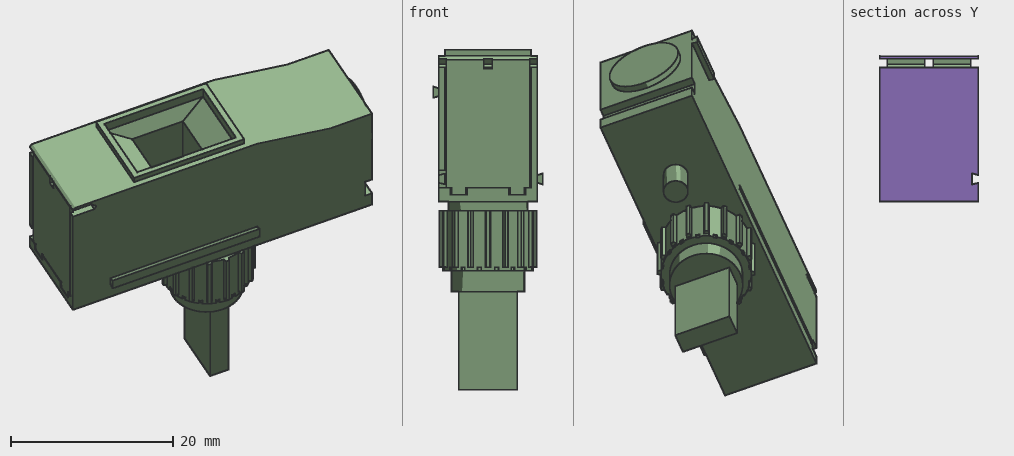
import cadquery as cq


width = 12.15
length = 41.0
height = 17.98
back_height = 16.15
slope_top_y = 25.25
slope_bottom_y = 35.35
lip_radius = 0.5

back_notch_bottom = 2.0
back_notch_top = 4.45
back_notch_depth = 0.95

back_boss_diameter = 9.1
back_boss_length = 0.8
back_boss_z = 10.35

window_y = 16.3
frame_width = 10.65
frame_length = 15.1
frame_height = 0.75
opening_width = 9.2
opening_length = 13.55
opening_straight_depth = 1.35
pit_width = 7.1
pit_length = 6.95
taper_depth = 1.9
pit_depth = 6.3

rail_height = 0.65
rail_flare = 0.2
front_rail_z = 2.8
front_rail_root = 0.95
front_rail_start_y = 5.1
back_rail_z = 13.5
back_rail_root = 1.0
groove_mouth = 0.92
groove_depth = 0.75
groove_entry_length = 1.2
groove_entry_top = 3.85

panel_width = 10.3
panel_setback = 0.05
panel_gap = 0.15
panel_gap_depth = 0.4
panel_bottom = 1.7
panel_top = height - lip_radius
foot_width = 2.1
foot_drop = 0.85
foot_offset = 3.6
foot_gap = 0.15

slot_bottom = 16.55
slot_top = 17.6
slot_nose_y = 3.2
slot_nose_z = 16.93
slot_roof_y = 2.55
slot_floor_y = 2.95
panel_thickness = 0.38
panel_chamfer = 0.38
catch_width = 1.0
catch_bottom = 16.4

knob_y = 21.3
neck_diameter = 9.8
neck_length = 1.1
knob_diameter = 11.1
rib_length = 6.95
rib_count = 16
rib_root_width = 0.65
rib_tip_width = 0.4
rib_tip_diameter = 12.0
knob_rim_length = 0.45
rim_notch_width = 0.45
rim_notch_depth = 0.15
barrel_diameter = 9.0
barrel_length = 2.55
blade_width = 7.2
blade_thickness = 2.55
overall_height = 41.9
blade_bottom = height + frame_height - overall_height

pin_diameter = 3.0
pin_length = 4.05
pin_y = 31.3

overlap = 0.4
half_width = width / 2


def box(x_range, y_range, z_range):
    """Axis-aligned box given by its two limits on each axis."""
    (x0, x1), (y0, y1), (z0, z1) = x_range, y_range, z_range
    return cq.Workplane("XY").box(x1 - x0, y1 - y0, z1 - z0, centered=False).translate((x0, y0, z0))


def side_profile(points, x0, x1):
    """Outline of (Y, Z) points extruded along X."""
    return cq.Workplane("YZ", origin=(x0, 0, 0)).polyline(points).close().extrude(x1 - x0)


def front_profile(points, y0, y1):
    """Outline of (X, Z) points extruded along Y."""
    return cq.Workplane("XZ", origin=(0, y0, 0)).polyline(points).close().extrude(y0 - y1)


def cylinder(diameter, y, top, bottom):
    """Upright cylinder on the housing centre plane."""
    return cq.Workplane("XY", origin=(0, y, bottom)).circle(diameter / 2).extrude(top - bottom)


def dovetail(x_root, x_tip, z, root, flare, y0, y1):
    """Bar along Y whose height grows by the flare on both edges from root to tip."""
    half_root = root / 2
    half_tip = half_root + flare
    points = [
        (x_root, z - half_root),
        (x_tip, z - half_tip),
        (x_tip, z + half_tip),
        (x_root, z + half_root),
    ]
    return front_profile(points, y0, y1)


def make_housing():
    outline = [
        (0, 0),
        (length, 0),
        (length, back_notch_bottom),
        (length - back_notch_depth, back_notch_bottom),
        (length - back_notch_depth, back_notch_top),
        (length, back_notch_top),
        (length, back_height),
        (slope_bottom_y, back_height),
        (slope_top_y, height),
        (0, height),
    ]
    housing = side_profile(outline, -half_width, half_width)
    housing = housing.edges(cq.selectors.NearestToPointSelector((0, 0, height))).fillet(lip_radius)
    boss = (
        cq.Workplane("XZ", origin=(0, length - overlap, back_boss_z))
        .circle(back_boss_diameter / 2)
        .extrude(-(back_boss_length + overlap))
    )
    return housing.union(boss)


def add_window(housing):
    top = height + frame_height
    taper_top = top - opening_straight_depth
    frame = (
        cq.Workplane("XY", origin=(0, window_y, height - overlap))
        .rect(frame_width, frame_length)
        .extrude(frame_height + overlap)
    )
    opening = (
        cq.Workplane("XY", origin=(0, window_y, taper_top))
        .rect(opening_width, opening_length)
        .extrude(opening_straight_depth)
    )
    taper = (
        cq.Workplane("XY", origin=(0, window_y, taper_top))
        .rect(opening_width, opening_length)
        .workplane(offset=-taper_depth)
        .rect(pit_width, pit_length)
        .loft(ruled=True)
    )
    pit = (
        cq.Workplane("XY", origin=(0, window_y, taper_top - taper_depth))
        .rect(pit_width, pit_length)
        .extrude(-pit_depth)
    )
    return housing.union(frame).cut(opening).cut(taper).cut(pit)


def add_rails(housing):
    front_rail = dovetail(
        half_width, half_width + rail_height,
        front_rail_z, front_rail_root, rail_flare, front_rail_start_y, slope_top_y,
    )
    back_rail = dovetail(
        -half_width, -half_width - rail_height,
        back_rail_z, back_rail_root, rail_flare, slope_bottom_y, length,
    )
    return housing.union(front_rail).union(back_rail)


def cut_groove(housing):
    groove_floor = -half_width + groove_depth
    groove = dovetail(
        -half_width, groove_floor, front_rail_z, groove_mouth, rail_flare, 0, slope_top_y,
    )
    entry = box(
        (-half_width, -panel_width / 2),
        (0, groove_entry_length),
        (panel_bottom, groove_entry_top),
    )
    return housing.cut(groove).cut(entry)


def cut_front_panel(housing):
    half_panel = panel_width / 2
    foot_bottom = panel_bottom - foot_drop
    housing = housing.cut(
        box((-half_panel, half_panel), (0, panel_setback), (panel_bottom, panel_top))
    )
    for side in (-1, 1):
        foot_x = side * foot_offset
        foot_left = foot_x - foot_width / 2
        foot_right = foot_x + foot_width / 2
        housing = housing.cut(
            box((foot_left, foot_right), (0, panel_setback), (foot_bottom, panel_bottom))
        )
        for gap_left in (foot_left, foot_right - foot_gap):
            housing = housing.cut(
                box((gap_left, gap_left + foot_gap), (0, panel_gap_depth), (foot_bottom, panel_bottom))
            )
        gap_edges = sorted((side * half_panel, side * (half_panel + panel_gap)))
        housing = housing.cut(box(gap_edges, (0, panel_gap_depth), (panel_bottom, slot_bottom)))
    return housing


def cut_cross_slot(housing):
    half_panel = panel_width / 2
    rear = [
        (slot_floor_y, slot_bottom),
        (slot_nose_y, slot_nose_z),
        (slot_roof_y, slot_top),
    ]
    open_front = [(0, slot_top), (0, slot_bottom)]
    closed_front = [
        (panel_thickness, slot_top),
        (panel_thickness, slot_bottom + panel_chamfer),
        (panel_thickness + panel_chamfer, slot_bottom),
    ]
    slot = side_profile(rear + closed_front, -half_width, half_width)
    left_end = side_profile(rear + open_front, -half_width, -half_panel)
    right_end = side_profile(rear + open_front, half_panel, half_width)
    catch = box(
        (-catch_width / 2, catch_width / 2),
        (0, panel_thickness + panel_chamfer),
        (catch_bottom, slot_top),
    )
    return housing.cut(slot).cut(left_end).cut(right_end).cut(catch)


def make_knob():
    rib_top = -neck_length
    rib_bottom = rib_top - rib_length
    knob_bottom = rib_bottom - knob_rim_length
    barrel_bottom = knob_bottom - barrel_length
    knob_radius = knob_diameter / 2

    knob = cylinder(knob_diameter, knob_y, rib_top, knob_bottom)
    pitch = 360 / rib_count
    rib_tip_radius = rib_tip_diameter / 2
    rib_outline = [
        (knob_radius - overlap, -rib_root_width / 2),
        (knob_radius, -rib_root_width / 2),
        (rib_tip_radius, -rib_tip_width / 2),
        (rib_tip_radius, rib_tip_width / 2),
        (knob_radius, rib_root_width / 2),
        (knob_radius - overlap, rib_root_width / 2),
    ]
    for index in range(rib_count):
        rib = cq.Workplane("XY", origin=(0, 0, rib_bottom)).polyline(rib_outline).close().extrude(rib_length)
        rib = rib.rotate((0, 0, 0), (0, 0, 1), index * pitch).translate((0, knob_y, 0))
        knob = knob.union(rib)
        notch = box(
            (knob_radius - rim_notch_depth, knob_radius + overlap),
            (-rim_notch_width / 2, rim_notch_width / 2),
            (knob_bottom, rib_bottom),
        )
        notch = notch.rotate((0, 0, 0), (0, 0, 1), (index + 0.5) * pitch).translate((0, knob_y, 0))
        knob = knob.cut(notch)

    neck = cylinder(neck_diameter, knob_y, overlap, rib_top)
    barrel = cylinder(barrel_diameter, knob_y, knob_bottom, barrel_bottom)
    blade = box(
        (-blade_width / 2, blade_width / 2),
        (knob_y - blade_thickness / 2, knob_y + blade_thickness / 2),
        (blade_bottom, barrel_bottom),
    )
    return knob.union(neck).union(barrel).union(blade)


housing = make_housing()
housing = add_window(housing)
housing = add_rails(housing)
housing = cut_groove(housing)
housing = cut_front_panel(housing)
housing = cut_cross_slot(housing)
pin = cylinder(pin_diameter, pin_y, overlap, -pin_length)
result = housing.union(make_knob()).union(pin)